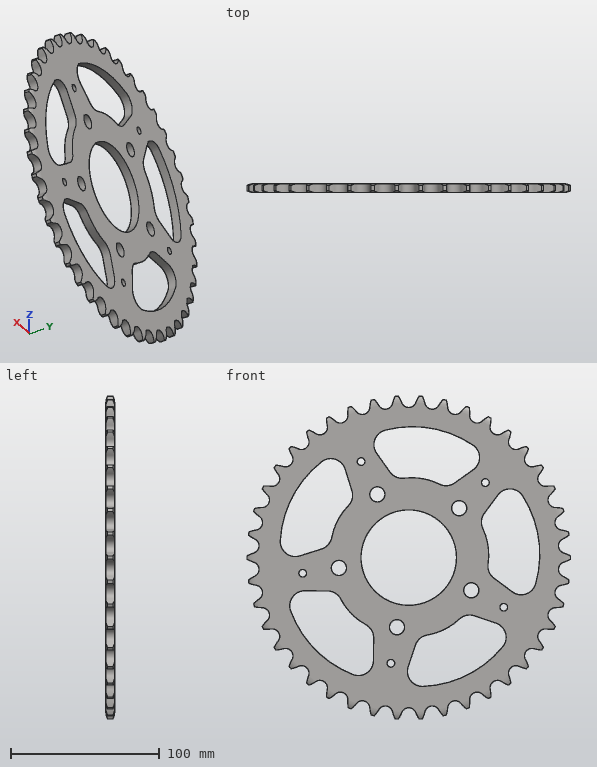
import cadquery as cq
import math

thickness = 6.0
tip_radius = 109.0
bore_diameter = 64.0

tooth_count = 42
pitch_radius = 106.2
seat_radius = 5.0
seat_half_angle = 68.0
tip_half_width = 1.0
bevel_start_radius = 104.2
bevel_tip_width = 3.5

spoke_count = 5
first_spoke_angle = 44.4
bolt_hole_diameter = 10.0
bolt_circle_radius = 47.5
small_hole_diameter = 5.0
small_hole_circle_radius = 72.2

window_outer_reach = 88.3
window_outer_radius = 72.8
window_inner_reach = 54.0
window_inner_diameter = 83.0
window_side_apex = 32.7
window_corner_radius = 10.0

tooth_pitch_angle = 360.0 / tooth_count
spoke_pitch_angle = 360.0 / spoke_count
half_thickness = thickness / 2
window_inner_radius = window_inner_diameter / 2
tip_half_angle = math.degrees(math.asin(tip_half_width / tip_radius))


def polar(radius, degrees):
    angle = math.radians(degrees)
    return (radius * math.cos(angle), radius * math.sin(angle))


def seat_point(gap_angle, offset_angle):
    """Point on a roller seat, offset_angle round from the bottom of the seat."""
    centre_x, centre_y = polar(pitch_radius, gap_angle)
    dx, dy = polar(seat_radius, gap_angle + 180 + offset_angle)
    return (centre_x + dx, centre_y + dy)


def flank_arc_radius():
    """Radius of the arc that leaves a seat tangentially and ends at the tip corner."""
    gap_angle = tooth_pitch_angle / 2
    start_x, start_y = seat_point(gap_angle, seat_half_angle)
    tip_x, tip_y = polar(tip_radius, tip_half_angle)
    chord_angle = math.atan2(tip_y - start_y, tip_x - start_x)
    tangent_angle = math.radians(gap_angle + seat_half_angle - 90)
    chord = math.hypot(tip_x - start_x, tip_y - start_y)
    return chord / (2 * math.sin(tangent_angle - chord_angle))


def toothed_disc():
    flank_radius = flank_arc_radius()
    outline = cq.Workplane("XZ").moveTo(*polar(tip_radius, -tip_half_angle))
    for tooth in range(tooth_count):
        tooth_angle = tooth * tooth_pitch_angle
        gap_angle = tooth_angle + tooth_pitch_angle / 2
        next_tooth_angle = tooth_angle + tooth_pitch_angle
        tip_middle = polar(tip_radius, tooth_angle)
        tip_end = polar(tip_radius, tooth_angle + tip_half_angle)
        outline = outline.threePointArc(tip_middle, tip_end)
        outline = outline.radiusArc(seat_point(gap_angle, seat_half_angle), -flank_radius)
        outline = outline.threePointArc(seat_point(gap_angle, 0), seat_point(gap_angle, -seat_half_angle))
        outline = outline.radiusArc(polar(tip_radius, next_tooth_angle - tip_half_angle), -flank_radius)
    return outline.close().extrude(half_thickness, both=True)


def bevel_envelope():
    """Solid of revolution whose rim curves in from both faces towards the tooth tips."""
    upper_half = (
        cq.Workplane("XY")
        .lineTo(0, half_thickness)
        .lineTo(bevel_start_radius, half_thickness)
        .tangentArcPoint((tip_radius, bevel_tip_width / 2), relative=False)
        .lineTo(tip_radius, 0)
        .close()
        .revolve(360, (0, 0, 0), (0, 1, 0))
    )
    return upper_half.union(upper_half.mirror("XZ"))


def spoke_holes(circle_radius, diameter):
    """Pins for a ring of holes, one on each spoke."""
    return (
        cq.Workplane("XZ")
        .polarArray(circle_radius, first_spoke_angle, 360, spoke_count)
        .circle(diameter / 2)
        .extrude(half_thickness, both=True)
    )


def side_crossing(arc_centre, arc_radius):
    """Point where the right-hand 45 degree side meets an arc centred on the window axis."""
    drop = window_side_apex - arc_centre
    x = (-drop + math.sqrt(2 * arc_radius**2 - drop**2)) / 2
    return (x, x + window_side_apex)


def window():
    """Window cutter with its axis of symmetry along +Z."""
    outer_x, outer_z = side_crossing(window_outer_reach - window_outer_radius, window_outer_radius)
    inner_x, inner_z = side_crossing(window_inner_reach - window_inner_radius, window_inner_radius)
    return (
        cq.Workplane("XZ")
        .moveTo(-outer_x, outer_z)
        .threePointArc((0, window_outer_reach), (outer_x, outer_z))
        .lineTo(inner_x, inner_z)
        .threePointArc((0, window_inner_reach), (-inner_x, inner_z))
        .close()
        .extrude(half_thickness, both=True)
        .edges("|Y")
        .fillet(window_corner_radius)
    )


sprocket = toothed_disc().intersect(bevel_envelope())
sprocket = sprocket.cut(cq.Workplane("XZ").circle(bore_diameter / 2).extrude(half_thickness, both=True))
sprocket = sprocket.cut(spoke_holes(bolt_circle_radius, bolt_hole_diameter))
sprocket = sprocket.cut(spoke_holes(small_hole_circle_radius, small_hole_diameter))

for spoke in range(spoke_count):
    window_angle = first_spoke_angle + (spoke + 0.5) * spoke_pitch_angle
    sprocket = sprocket.cut(window().rotate((0, 0, 0), (0, -1, 0), window_angle - 90))

result = sprocket